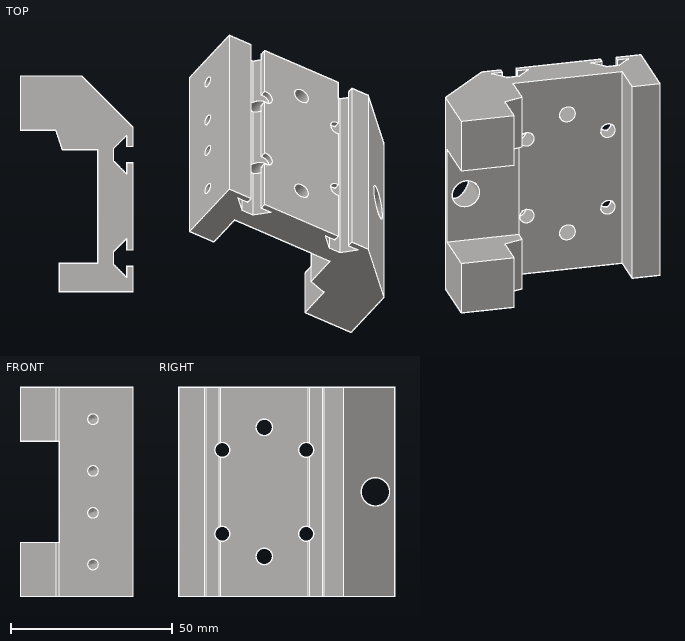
import cadquery as cq
import math

length_x = 35.0
length_y = 67.0
height = 65.0
mid_z = height / 2

foot_x = 12.0
foot_thickness = 9.0
wall_x = 23.9
head_thickness = 23.0
nose_thickness = 16.95
ramp_start_x = 11.0
ramp_end_x = 13.0
corner_chamfer = 15.95

slot_centre_y = 26.5
slot_spacing = 32.0
slot_mouth = 4.95
slot_lip = 2.0
slot_depth = 6.0
slot_inner_width = 12.0
slot_floor_width = slot_inner_width - 2 * (slot_depth - slot_lip)

notch_height = 31.35
notch_depth = 16.95

pin_diameter = 8.7
pin_from_end = 6.0
corner_hole_diameter = 4.55
corner_hole_spacing = 26.0
middle_hole_diameter = 5.0
middle_hole_spacing = 40.0

drill_diameter = 3.3
drill_depth = 6.0
drill_tip_angle = 118.0
drill_x = 22.5
drill_spacings = (13.0, 45.0)


def make_body():
    outline = [
        (foot_x, 0),
        (length_x, 0),
        (length_x, length_y - corner_chamfer),
        (length_x - corner_chamfer, length_y),
        (0, length_y),
        (0, length_y - nose_thickness),
        (ramp_start_x, length_y - nose_thickness),
        (ramp_end_x, length_y - head_thickness),
        (wall_x, length_y - head_thickness),
        (wall_x, foot_thickness),
        (foot_x, foot_thickness),
    ]
    return cq.Workplane("XY").polyline(outline).close().extrude(height)


def make_slot(centre_y):
    """Full-height T-slot with a narrow mouth and flanks tapering to a flat floor."""
    lip_x = length_x - slot_lip
    floor_x = length_x - slot_depth
    upper_half = [
        (length_x, slot_mouth / 2),
        (lip_x, slot_mouth / 2),
        (lip_x, slot_inner_width / 2),
        (floor_x, slot_floor_width / 2),
    ]
    lower_half = [(x, -y) for x, y in reversed(upper_half)]
    slot = cq.Workplane("XY").polyline(upper_half + lower_half).close().extrude(height)
    return slot.translate((0, centre_y, 0))


def make_notch():
    notch = cq.Workplane("XY").box(notch_depth, head_thickness, notch_height, centered=(False, False, True))
    return notch.translate((0, length_y - head_thickness, mid_z))


def make_cross_hole(y, z, diameter):
    """Hole along X through the whole part."""
    return cq.Workplane("YZ").center(y, z).circle(diameter / 2).extrude(length_x)


def make_drilled_hole(z):
    """Blind hole along +Y from the foot's outer face, ending in a drill cone."""
    radius = drill_diameter / 2
    tip_length = radius / math.tan(math.radians(drill_tip_angle / 2))
    half_section = [(0, 0), (radius, 0), (radius, drill_depth), (0, drill_depth + tip_length)]
    hole = cq.Workplane("XY").polyline(half_section).close().revolve(360, (0, 0), (0, 1))
    return hole.translate((drill_x, 0, z))


result = make_body().cut(make_notch())

for side in (-1, 1):
    result = result.cut(make_slot(slot_centre_y + side * slot_spacing / 2))

result = result.cut(make_cross_hole(length_y - pin_from_end, mid_z, pin_diameter))

for z_side in (-1, 1):
    middle_z = mid_z + z_side * middle_hole_spacing / 2
    result = result.cut(make_cross_hole(slot_centre_y, middle_z, middle_hole_diameter))
    for y_side in (-1, 1):
        corner_y = slot_centre_y + y_side * corner_hole_spacing / 2
        corner_z = mid_z + z_side * corner_hole_spacing / 2
        result = result.cut(make_cross_hole(corner_y, corner_z, corner_hole_diameter))
    for spacing in drill_spacings:
        result = result.cut(make_drilled_hole(mid_z + z_side * spacing / 2))